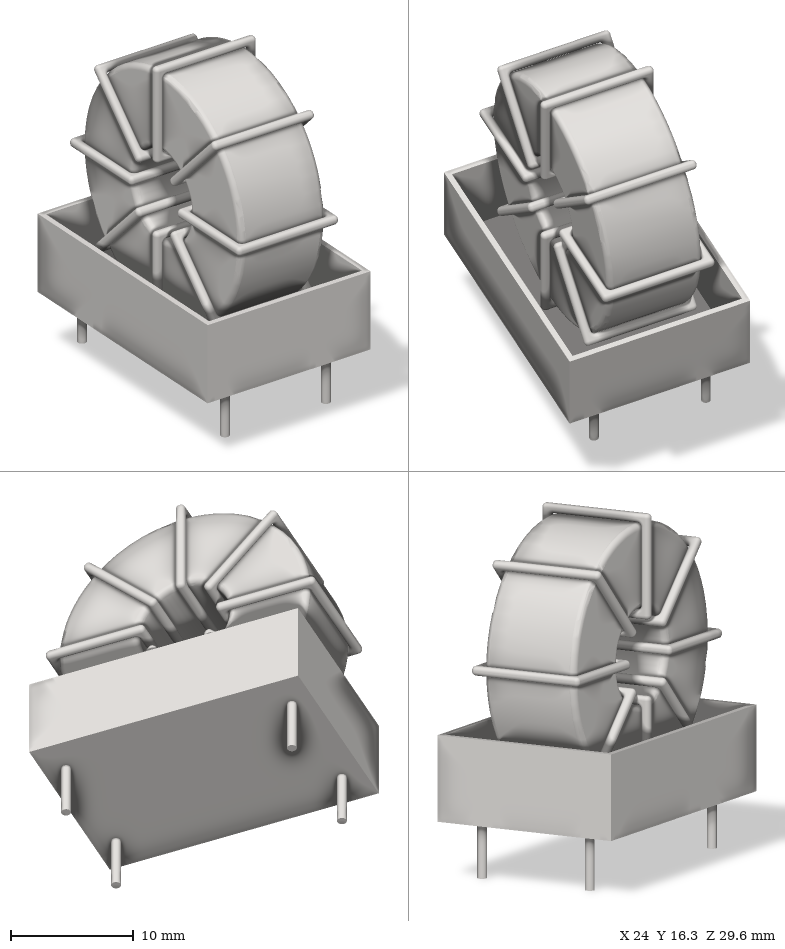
import cadquery as cq

tray_length = 24.0
tray_width = 16.3
tray_height = 7.2
wall = 0.5
pin_diameter = 0.8
pin_length = 4.7
pin_spacing_x = 20.15
pin_spacing_y = 10.1

overall_height = 29.55
wire_loops = 8
wire_thickness = 0.8
wire_edge_radius = 0.35
wire_bend_radius = 0.33
winding_outer_radius = tray_length / 2
winding_inner_radius = 3.2
winding_width = 10.1
radial_clearance = 0.03
core_edge_radius = 0.5

core_outer_radius = winding_outer_radius - wire_thickness - radial_clearance
core_bore_radius = winding_inner_radius + wire_thickness + radial_clearance
core_width = winding_width - 2 * wire_thickness
axis_height = overall_height - pin_length - winding_outer_radius


def make_base():
    """Floor plate, upright walls and four round pins; the underside is at Z = 0."""
    floor = cq.Workplane("XY").rect(tray_length, tray_width).extrude(wall)
    walls = (
        cq.Workplane("XY", origin=(0, 0, wall))
        .rect(tray_length, tray_width)
        .rect(tray_length - 2 * wall, tray_width - 2 * wall)
        .extrude(tray_height - wall)
    )
    pins = (
        cq.Workplane("XY")
        .rect(pin_spacing_x, pin_spacing_y, forConstruction=True)
        .vertices()
        .circle(pin_diameter / 2)
        .extrude(-pin_length)
    )
    return floor.union(walls, clean=False).union(pins, clean=False)


def make_core():
    """Ring with rounded edges, centred on the origin."""
    return (
        cq.Workplane("XZ", origin=(0, core_width / 2, 0))
        .circle(core_outer_radius)
        .circle(core_bore_radius)
        .extrude(core_width)
        .edges()
        .fillet(core_edge_radius)
    )


def make_wire_loop():
    """One rectangular turn of wire around the ring section on the +X side."""
    radial_length = winding_outer_radius - winding_inner_radius
    middle_radius = (winding_outer_radius + winding_inner_radius) / 2
    opening = (
        cq.Workplane("XY")
        .box(radial_length - 2 * wire_thickness, core_width, wire_thickness)
        .edges("|Z")
        .fillet(wire_bend_radius)
    )
    return (
        cq.Workplane("XY")
        .box(radial_length, winding_width, wire_thickness)
        .cut(opening)
        .edges("#Z or (|Z and (<X or >X))")
        .fillet(wire_edge_radius)
        .translate((middle_radius, 0, 0))
    )


def make_wound_core():
    """Ring and its evenly spaced wire loops as one solid."""
    wound = make_core()
    loop = make_wire_loop()
    for index in range(wire_loops):
        wound = wound.union(loop.rotate((0, 0, 0), (0, 1, 0), index * 360 / wire_loops))
    return wound.translate((0, 0, axis_height))


base = make_base()
wound_core = make_wound_core()

result = cq.Compound.makeCompound([base.solids().val(), wound_core.solids().val()])